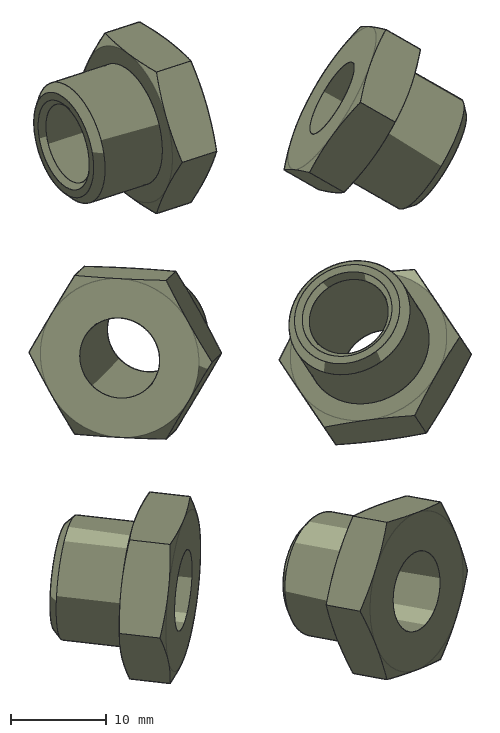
import cadquery as cq
import math

across_corners = 19.63
total_length = 13.0
head_length = 5.0
head_chamfer_angle = 15.0
shank_diameter = 13.15
shank_chamfer = 0.86
bore_diameter = 8.55
bore_chamfer = 0.59

corner_radius = across_corners / 2
flat_radius = corner_radius * math.cos(math.radians(30))
head_chamfer_depth = (corner_radius - flat_radius) * math.tan(math.radians(head_chamfer_angle))
shank_radius = shank_diameter / 2
bore_radius = bore_diameter / 2
shank_end = head_length - total_length


def revolve_about_y(points):
    """Turn a closed (radius, y) profile into a solid around the Y axis."""
    return cq.Workplane("XY").polyline(points).close().revolve(360, (0, 0, 0), (0, 1, 0))


def make_head():
    """Hexagon with corners on the X axis, both faces chamfered at the corners."""
    hexagon = cq.Workplane("XZ").polygon(6, across_corners).extrude(-head_length)
    envelope = revolve_about_y([
        (0, 0),
        (flat_radius, 0),
        (corner_radius, head_chamfer_depth),
        (corner_radius, head_length - head_chamfer_depth),
        (flat_radius, head_length),
        (0, head_length),
    ])
    return hexagon.intersect(envelope)


def make_shank():
    """Round shank, chamfered at its free end."""
    return revolve_about_y([
        (0, 0),
        (shank_radius, 0),
        (shank_radius, shank_end + shank_chamfer),
        (shank_radius - shank_chamfer, shank_end),
        (0, shank_end),
    ])


def make_bore():
    """Through bore, widened by a chamfer at the shank end."""
    return revolve_about_y([
        (0, shank_end),
        (bore_radius + bore_chamfer, shank_end),
        (bore_radius, shank_end + bore_chamfer),
        (bore_radius, head_length),
        (0, head_length),
    ])


result = make_head().union(make_shank()).cut(make_bore())